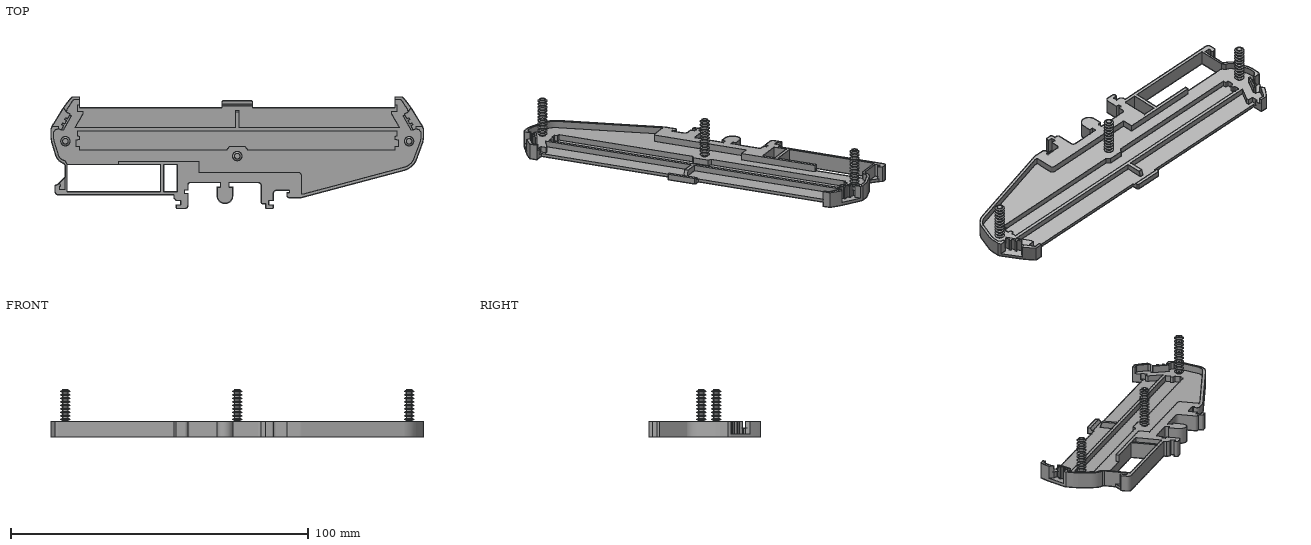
import cadquery as cq


panel_top = 1.07
floor_top = 3.0
rim_top = 5.3
tab_top = 2.0
pin_top = 16.0

half_length = 62.7
prong_top = 37.6
prong_side = 53.0

strip_bottom = 27.3
strip_top = 34.0
ridge_width = 1.1
slot_top = strip_bottom - ridge_width
stem_half_width = 0.6
stem_end = 33.1
stem_bevel = 0.6
tab_half_width = 5.1
tab_end = 36.4
tab_crest = 35.2
tab_foot = 34.5
tab_corner = 0.4

foot_roundings = [
    (-61.3, 4.6, 1.1), (-20.6, 0, 0.5), (-16.5, 0, 1.1), (-16.5, 8.8, 0.8), (8.0, 8.8, 1.0), (8.0, 1.6, 0.6),
    (9.5, 0, 0.4), (12.2, 0, 0.5), (12.2, 6.1, 1.0), (16.7, 3.6, 0.9), (21.3, 3.6, 2.5),
]

floor_corner = (21.6, 12.2)
floor_corner_radius = 1.0

frame_side = -57.9
frame_thickness = 0.8
window_left = frame_side + frame_thickness
window_right = -20.2
window_bottom = 5.8
window_top = 14.8
divider_left = -25.8
divider_width = 1.1
hook_side = -59.8
hook_floor = 6.5

comb_start = (-56.2, 31.9)
comb_angle = 240.8
comb_length = 5.5
comb_gap = 0.4
comb_thickness = 0.6
tooth_places = (1.9, 3.9)
tooth_width = 0.6
tooth_reach = 0.8

pin_places = [(-57.8, 22.7), (0, 17.7), (57.8, 22.7)]
pin_radius = 0.94
ring_radius = 1.57
ring_pitch = 1.18
ring_count = 11
ring_root = 0.6
top_ring_drop = 0.6


def mirrored(points):
    """Points reflected about X = 0, in reverse order so that an outline can continue."""
    return [(-x, y) for x, y in reversed(points)]


def both_ends(shape):
    """A left-end shape together with its mirror image at the right end."""
    return shape.union(shape.mirror("YZ"))


def prism(points, bottom, top):
    """A closed straight-sided outline between two heights."""
    return cq.Workplane("XY").workplane(offset=bottom).polyline(points).close().extrude(top - bottom)


def make_blank():
    """The whole outline at rim height."""
    prong = [(-prong_side, strip_top), (-prong_side, prong_top), (-55.5, prong_top)]
    left_end = [(-58.4, strip_top), (-62.3, 27.7), (-half_length, 26.7), (-half_length, 24.0), (-62.5, 22.5)]
    hook = [
        (frame_side, 14.7), (frame_side, hook_floor), (hook_side, hook_floor), (hook_side, 7.3), (-59.5, 7.8),
        (hook_side, 8.5), (-61.3, 7.8),
    ]
    left_foot = [
        (-61.3, 4.6), (-21.3, 4.6), (-21.3, 3.6), (-20.6, 2.8), (-19.0, 2.8), (-19.0, 1.3),
        (-20.6, 1.3), (-20.6, 0), (-16.5, 0), (-16.5, 5.1), (-17.7, 5.1), (-17.7, 6.3), (-16.5, 6.3),
        (-16.5, 8.8), (-5.6, 8.8), (-5.6, 7.3), (-6.8, 7.3), (-6.8, 4.4),
    ]
    right_foot = [
        (-1.5, 7.3), (-2.8, 7.3), (-2.8, 8.8), (8.0, 8.8), (8.0, 1.6), (9.5, 1.6), (9.5, 0), (12.2, 0),
        (12.2, 1.3), (10.7, 1.3), (10.7, 2.8), (12.2, 2.8), (12.2, 6.1), (17.5, 6.1), (17.5, 5.4),
        (16.7, 5.4), (16.7, 3.6), (21.3, 3.6), (56.3, 12.9),
    ]
    blank = (
        cq.Workplane("XY")
        .polyline(prong)
        .threePointArc((-57.0, 35.9), left_end[0])
        .polyline([*left_end[1:], (-61.2, 18.3)], includeCurrent=True)
        .threePointArc((-60.1, 16.3), (-58.3, 15.2))
        .polyline(hook + left_foot, includeCurrent=True)
        .threePointArc((-4.1, 1.8), (-1.5, 4.4))
        .polyline(right_foot, includeCurrent=True)
        .threePointArc((58.8, 14.4), (60.2, 16.3))
        .polyline(mirrored(left_end), includeCurrent=True)
        .threePointArc((57.0, 35.9), (55.5, prong_top))
        .polyline(mirrored(prong[:-1]), includeCurrent=True)
        .close()
        .extrude(rim_top)
    )
    for x, y, radius in foot_roundings:
        corner = cq.selectors.NearestToPointSelector((x, y, rim_top / 2))
        blank = blank.edges("|Z").edges(corner).fillet(radius)
    return blank


def make_floor_recess():
    """The space above the main floor, inside the rim and above the rail foot."""
    left_side = [
        (-prong_side, 36.7), (-54.9, 36.7), (-55.4, 36.2), (-57.3, 33.4), (-57.4, 32.5), (-60.2, 26.8),
        (-61.2, 26.6), (-61.8, 25.7), (-61.8, 23.8), (-61.6, 22.6), (-60.3, 18.5),
    ]
    foot_edge = [
        (window_left, window_top), (-40.0, window_top), (-40.0, 15.9), (-12.8, 15.9), (-12.8, 12.2),
        floor_corner, (21.6, 5.0), (22.6, 5.0), (56.0, 13.9),
    ]
    right_side = mirrored(left_side[:-1])
    recess = (
        cq.Workplane("XY")
        .workplane(offset=floor_top)
        .polyline(left_side)
        .threePointArc((-59.2, 16.7), (-57.9, 16.2))
        .polyline(foot_edge, includeCurrent=True)
        .threePointArc((58.2, 15.0), (59.5, 16.9))
        .polyline(right_side, includeCurrent=True)
        .close()
        .extrude(rim_top - floor_top)
    )
    foot_corner = cq.selectors.NearestToPointSelector((*floor_corner, floor_top))
    return recess.edges("|Z").edges(foot_corner).fillet(floor_corner_radius)


def make_strip_recess():
    """The low floor of the strip along the top edge, open between the two prongs."""
    left_side = [
        (-prong_side, prong_top), (-prong_side, 34.9), (-53.8, 34.9), (-53.8, 32.7), (-51.9, 32.7),
        (-51.9, 31.9), (-54.5, strip_bottom),
    ]
    return prism(left_side + mirrored(left_side), panel_top, rim_top)


def make_slot():
    """The long slot below the strip, with notched ends."""
    left_end = [(-2.6, 21.0), (-3.5, 19.8), (-53.0, 19.8), (-53.0, 21.0), (-54.2, 21.0), (-54.2, 23.1),
                (-53.0, 23.3), (-53.0, 24.3), (-53.8, 24.5), (-53.8, slot_top)]
    return prism(left_end + mirrored(left_end), panel_top, rim_top)


def make_terminal_recess():
    """The low corner outside each comb, between the prong and the end rim."""
    points = [(-58.4, strip_top), (-57.4, 32.5), comb_start, (-59.2, 26.5), (-60.2, 27.0), (-60.2, 27.7),
              (-half_length, 27.7)]
    return both_ends(prism(points, panel_top, rim_top))


def make_window():
    """The through window, split in two by a divider."""
    height = window_top - window_bottom
    divider_right = divider_left + divider_width
    large = cq.Workplane("XY").box(divider_left - window_left, height, rim_top, centered=False)
    small = cq.Workplane("XY").box(window_right - divider_right, height, rim_top, centered=False)
    return large.translate((window_left, window_bottom, 0)).union(
        small.translate((divider_right, window_bottom, 0))
    )


def make_stem():
    """The upright rib in the strip, its end beveled."""
    profile = [(strip_bottom, panel_top), (stem_end, panel_top), (stem_end - stem_bevel, floor_top),
               (strip_bottom, floor_top)]
    stem = cq.Workplane("YZ").polyline(profile).close()
    return stem.extrude(stem_half_width, both=True)


def make_tab():
    """The catch on the top edge, with a steep inner face."""
    profile = [(strip_top, 0), (tab_end, 0), (tab_end, tab_top), (tab_crest, tab_top), (tab_foot, panel_top),
               (strip_top, panel_top)]
    tab = cq.Workplane("YZ").polyline(profile).close().extrude(tab_half_width, both=True)
    return tab.edges("|Z and >Y").chamfer(tab_corner)


def make_comb():
    """The toothed wall at both ends, turned along the leaning line from its start point."""
    wall = cq.Workplane("XY").box(comb_length, comb_thickness, rim_top - panel_top, centered=False)
    comb = wall.translate((comb_gap, 0, 0))
    for place in tooth_places:
        tooth = cq.Workplane("XY").box(tooth_width, tooth_reach, rim_top - panel_top, centered=False)
        comb = comb.union(tooth.translate((place, -tooth_reach, 0)))
    comb = comb.rotate((0, 0, 0), (0, 0, 1), comb_angle)
    return both_ends(comb.translate((*comb_start, panel_top)))


def make_hook_web():
    """The thin web that fills the hook at the end of the window frame."""
    points = [(frame_side, hook_floor), (frame_side, 10.7), (-60.2, 8.4), (hook_side, hook_floor)]
    return prism(points, 0, panel_top)


def make_housing():
    housing = make_blank().cut(make_floor_recess())
    housing = housing.cut(make_strip_recess()).cut(make_slot()).cut(make_terminal_recess())
    housing = housing.cut(make_window())
    for addition in (make_stem(), make_tab(), make_comb(), make_hook_web()):
        housing = housing.union(addition)
    return housing


def make_pin(place):
    """A pin standing on the main floor, with sharp-edged rings along its length."""
    pin = cq.Workplane("XY").workplane(offset=floor_top).circle(pin_radius).extrude(pin_top - floor_top)
    for index in range(ring_count):
        crest = pin_top - top_ring_drop - index * ring_pitch
        profile = [(0, crest - ring_root / 2), (pin_radius, crest - ring_root / 2), (ring_radius, crest),
                   (pin_radius, crest + ring_root / 2), (0, crest + ring_root / 2)]
        ring = cq.Workplane("XZ").polyline(profile).close().revolve(360, (0, 0, 0), (0, 1, 0))
        pin = pin.union(ring)
    return pin.translate((*place, 0))


housing = make_housing()
pins = [make_pin(place) for place in pin_places]
result = cq.Compound.makeCompound([housing.val(), *[pin.val() for pin in pins]])